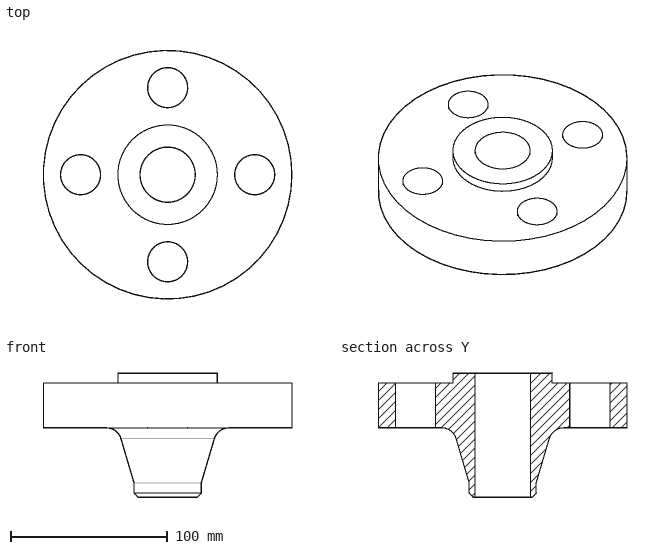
import cadquery as cq
import math

flange_diameter = 158.8
total_height = 79.4

flange_thickness = 28.7
face_diameter = 63.5
face_height = 6.4
bore_diameter = 35.1

bolt_count = 4
bolt_circle_diameter = 111.1
bolt_hole_diameter = 25.4

weld_end_diameter = 43.0
weld_end_height = 9.2
bevel_height = 2.7
bevel_width = 2.7
hub_root_diameter = 63.8
hub_fillet_radius = 9.5

flange_top = total_height - face_height
flange_bottom = flange_top - flange_thickness


def make_body():
    """Revolve the half section of hub, flange and raised face about Z."""
    weld_radius = weld_end_diameter / 2
    root_radius = hub_root_diameter / 2
    flange_radius = flange_diameter / 2
    face_radius = face_diameter / 2

    flank_angle = math.atan2(flange_bottom - weld_end_height, root_radius - weld_radius)
    corner_angle = math.pi - flank_angle
    setback = hub_fillet_radius / math.tan(corner_angle / 2)
    fillet_start = (
        root_radius - setback * math.cos(flank_angle),
        flange_bottom - setback * math.sin(flank_angle),
    )
    fillet_end = (root_radius + setback, flange_bottom)

    return (
        cq.Workplane("XZ")
        .moveTo(0, 0)
        .lineTo(weld_radius - bevel_width, 0)
        .lineTo(weld_radius, bevel_height)
        .lineTo(weld_radius, weld_end_height)
        .lineTo(*fillet_start)
        .tangentArcPoint(fillet_end, relative=False)
        .lineTo(flange_radius, flange_bottom)
        .lineTo(flange_radius, flange_top)
        .lineTo(face_radius, flange_top)
        .lineTo(face_radius, total_height)
        .lineTo(0, total_height)
        .close()
        .revolve(360, (0, 0, 0), (0, 1, 0))
    )


def make_bore():
    return cq.Workplane("XY").circle(bore_diameter / 2).extrude(total_height)


def make_bolt_holes():
    """Through holes on the bolt circle, the first one on the X axis."""
    return (
        cq.Workplane("XY")
        .workplane(offset=flange_bottom)
        .polarArray(bolt_circle_diameter / 2, 0, 360, bolt_count)
        .circle(bolt_hole_diameter / 2)
        .extrude(flange_thickness)
    )


result = make_body().cut(make_bore()).cut(make_bolt_holes())